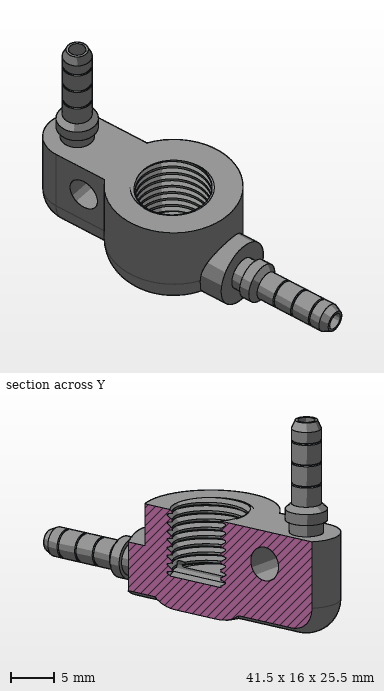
import cadquery as cq
import math

length = 41.5
total_height = 25.5

body_height = 12.0
lug_radius = 4.0
lug_x = lug_radius
ring_x = 18.0
ring_radius = 8.0
bottom_fillet = lug_radius
boss_end_x = 28.0
axis_z = lug_radius

pin_hole_radius = 2.0
pin_hole_x = 8.0
pin_hole_z = 8.0

barb_neck_radius = 2.0
barb_neck_length = 1.5
collar_radius = 2.45
collar_length = 1.33
collar_taper = 0.65
stem_radius = 1.75
tip_radius = 1.3
tip_length = 1.0
groove_first = 5.9
groove_spacing = 2.57
groove_count = 3
groove_width = 0.2
groove_depth = 0.12

bore_radius = 1.0

socket_floor_z = axis_z
thread_minor_radius = 4.45
thread_major_radius = 5.02
thread_pitch = 1.0
thread_root_width = 0.12
thread_lower_flank = 0.4
thread_upper_flank = 0.15
thread_end_angle = -70
thread_overlap = 0.1


def cylinder_z(radius, x, z_start, z_end):
    """Vertical cylinder on the XZ symmetry plane."""
    return cq.Workplane("XY", origin=(x, 0, z_start)).circle(radius).extrude(z_end - z_start)


def cylinder_x(radius, x_start, x_end):
    """Cylinder along X at the passage height."""
    return cq.Workplane("YZ", origin=(x_start, 0, axis_z)).circle(radius).extrude(x_end - x_start)


def make_body():
    lug_walls = cylinder_z(lug_radius, lug_x, axis_z, body_height).union(
        cq.Workplane("XY")
        .box(ring_x - lug_x, 2 * lug_radius, body_height - axis_z, centered=(False, True, False))
        .translate((lug_x, 0, axis_z))
    )
    lug_end = cq.Workplane("XY").sphere(lug_radius).translate((lug_x, 0, axis_z))
    underside_and_boss = cylinder_x(lug_radius, lug_x, boss_end_x)
    ring = cylinder_z(ring_radius, ring_x, 0, body_height).faces("<Z").edges().fillet(bottom_fillet)
    return lug_walls.union(lug_end).union(underside_and_boss).union(ring)


def make_barb(barb_length):
    """Solid hose barb standing on the origin along Z, with V grooves around its stem."""
    collar_top = barb_neck_length + collar_length
    barb = (
        cq.Workplane("XZ")
        .lineTo(barb_neck_radius, 0)
        .lineTo(barb_neck_radius, barb_neck_length)
        .lineTo(collar_radius, barb_neck_length)
        .lineTo(collar_radius, collar_top)
        .lineTo(stem_radius, collar_top + collar_taper)
        .lineTo(stem_radius, barb_length - tip_length)
        .lineTo(tip_radius, barb_length)
        .lineTo(0, barb_length)
        .close()
        .revolve(360, (0, 0, 0), (0, 1, 0))
    )
    for index in range(groove_count):
        groove_z = groove_first + index * groove_spacing
        groove = (
            cq.Workplane("XZ")
            .moveTo(stem_radius, groove_z - groove_width / 2)
            .lineTo(stem_radius - groove_depth, groove_z)
            .lineTo(stem_radius, groove_z + groove_width / 2)
            .close()
            .revolve(360, (0, 0, 0), (0, 1, 0))
        )
        barb = barb.cut(groove)
    return barb


def make_thread_groove():
    """Right-hand helical groove around the socket, trimmed to the socket depth."""
    socket_depth = body_height - socket_floor_z
    turns = math.ceil(socket_depth / thread_pitch) + 2
    helix_height = turns * thread_pitch
    cutter_radius = thread_minor_radius - thread_overlap
    flank_depth = thread_major_radius - thread_minor_radius
    flank_growth = (flank_depth + thread_overlap) / flank_depth
    half_root = thread_root_width / 2
    helix = cq.Wire.makeHelix(thread_pitch, helix_height, cutter_radius)
    groove = (
        cq.Workplane("XZ")
        .moveTo(cutter_radius, -half_root - thread_lower_flank * flank_growth)
        .lineTo(thread_major_radius, -half_root)
        .lineTo(thread_major_radius, half_root)
        .lineTo(cutter_radius, half_root + thread_upper_flank * flank_growth)
        .close()
        .sweep(cq.Workplane(obj=helix), isFrenet=True)
    )
    groove = groove.rotate((0, 0, 0), (0, 0, 1), thread_end_angle)
    groove = groove.translate((ring_x, 0, body_height + thread_pitch - helix_height))
    return groove.intersect(cylinder_z(ring_radius, ring_x, socket_floor_z, body_height))


body = make_body()
upright_barb = make_barb(total_height - body_height).translate((lug_x, 0, body_height))
side_barb = (
    make_barb(length - boss_end_x)
    .rotate((0, 0, 0), (0, 1, 0), 90)
    .translate((boss_end_x, 0, axis_z))
)
result = body.union(upright_barb).union(side_barb)

pin_hole = (
    cq.Workplane("XZ", origin=(pin_hole_x, 0, pin_hole_z))
    .circle(pin_hole_radius)
    .extrude(lug_radius, both=True)
)
result = result.cut(pin_hole)

result = result.cut(cylinder_z(bore_radius, lug_x, axis_z - bore_radius, total_height))
result = result.cut(cylinder_x(bore_radius, lug_x, length))

socket = cylinder_z(thread_minor_radius, ring_x, socket_floor_z, body_height)
result = result.cut(socket)
result = result.cut(make_thread_groove())